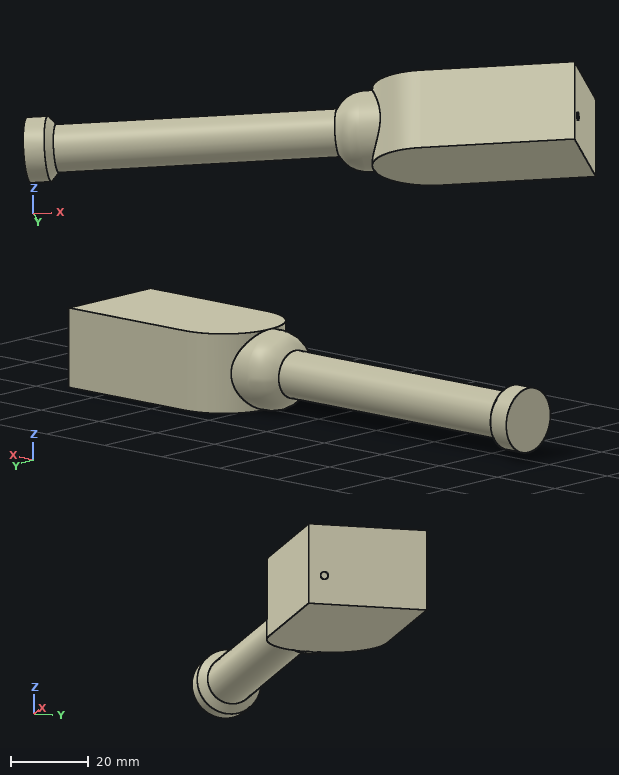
import cadquery as cq
import math

body_width = 31.5
body_height = 21.0
body_front_x = 90.0
body_back_x = 145.25
body_corner_radius = 15.0

collar_radius = body_height / 2
collar_front_x = 80.0
collar_rim_radius = 8.0

rod_radius = 12.5 / 2

flange_radius = 17.0 / 2
flange_length = 7.5
flange_bevel_length = 2.0

pip_diameter = 2.0
pip_height = 0.25
pip_y = -11.6
pip_z = -3.0


def make_body():
    """Block with its two front vertical edges rounded."""
    length = body_back_x - body_front_x
    block = cq.Workplane("XY").box(length, body_width, body_height, centered=(False, True, True))
    return block.edges("|Z and <X").fillet(body_corner_radius).translate((body_front_x, 0, 0))


def make_stem():
    """Flange, rod and collar as one profile revolved about the X axis."""
    rim_center_x = collar_front_x + collar_rim_radius
    rim_center_r = collar_radius - collar_rim_radius

    def rim_point(angle):
        return (
            rim_center_x - collar_rim_radius * math.cos(angle),
            rim_center_r + collar_rim_radius * math.sin(angle),
        )

    start_angle = math.asin((rod_radius - rim_center_r) / collar_rim_radius)
    end_angle = math.pi / 2
    collar_end_x = body_front_x + body_corner_radius

    profile = (
        cq.Workplane("XY")
        .moveTo(0, 0)
        .lineTo(0, flange_radius)
        .lineTo(flange_length - flange_bevel_length, flange_radius)
        .lineTo(flange_length, rod_radius)
        .lineTo(*rim_point(start_angle))
        .threePointArc(rim_point((start_angle + end_angle) / 2), rim_point(end_angle))
        .lineTo(collar_end_x, collar_radius)
        .lineTo(collar_end_x, 0)
        .close()
    )
    return profile.revolve(360, (0, 0, 0), (1, 0, 0))


def make_pip():
    """Short round pip standing on the back face."""
    face = cq.Workplane("YZ", origin=(body_back_x, pip_y, pip_z))
    return face.circle(pip_diameter / 2).extrude(pip_height)


result = make_body().union(make_stem()).union(make_pip())